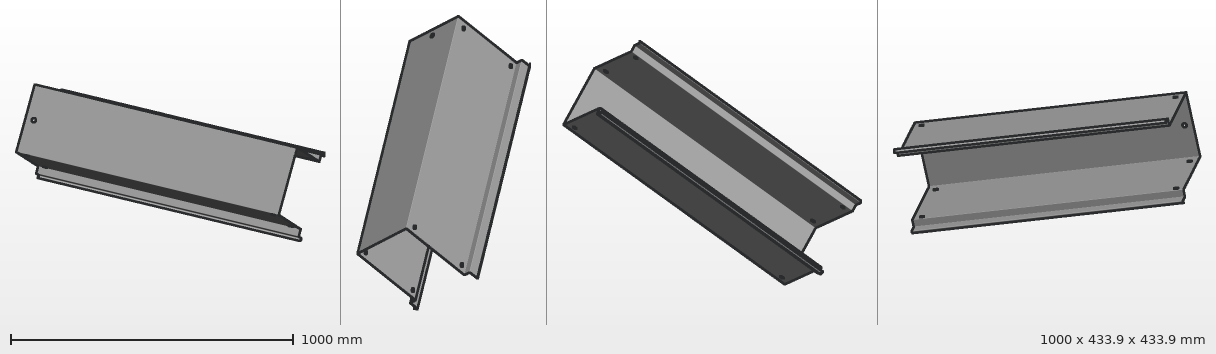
import cadquery as cq
import math

length = 1000.0
thickness = 1.0
web_width = 250.0
flange_depth = 297.0
step_width = 27.0
lip_depth = 38.0
hem_length = 11.0
corner_radius = 1.0
hem_radius = 2.0
hem_angle = 135.0
tilt = 45.0

hole_inset = 32.0
slot_length = 15.0
slot_width = 10.0
slot_depths = (35.0, 275.0)
web_hole_diameter = 15.0


def straight(distance):
    return ("straight", distance)


def bend(angle, radius):
    """Bend of the sheet; a positive angle turns left."""
    return ("bend", angle, radius)


def strip_section(steps):
    """Closed section of a sheet that starts at the origin, heading along +Y."""
    half = thickness / 2
    x, y, heading = 0.0, 0.0, 0.0

    def side_point(side):
        normal = math.radians(heading + 90)
        return (x + side * half * math.cos(normal), y + side * half * math.sin(normal))

    left = [(None, side_point(1))]
    right = [(None, side_point(-1))]
    for kind, *values in steps:
        if kind == "straight":
            x += values[0] * math.cos(math.radians(heading))
            y += values[0] * math.sin(math.radians(heading))
            left.append((None, side_point(1)))
            right.append((None, side_point(-1)))
            continue
        angle, radius = values
        turn = math.copysign(1, angle)
        normal = math.radians(heading + 90)
        center_x = x + turn * radius * math.cos(normal)
        center_y = y + turn * radius * math.sin(normal)
        middles = []
        for _ in range(2):
            heading += angle / 2
            normal = math.radians(heading + 90)
            x = center_x - turn * radius * math.cos(normal)
            y = center_y - turn * radius * math.sin(normal)
            middles.append((side_point(1), side_point(-1)))
        (left_middle, right_middle), (left_end, right_end) = middles
        left.append((left_middle, left_end))
        right.append((right_middle, right_end))

    section = cq.Workplane("YZ").moveTo(*left[0][1])
    for middle, end in left[1:]:
        section = section.threePointArc(middle, end) if middle else section.lineTo(*end)
    section = section.lineTo(*right[-1][1])
    for (middle, _), (_, start) in zip(right[:0:-1], right[-2::-1]):
        section = section.threePointArc(middle, start) if middle else section.lineTo(*start)
    return section.close()


def channel():
    """Web, flanges, outward steps, lips and hems, with the web on top at Z = 0."""
    corner_trim = corner_radius + thickness / 2
    steps = [
        straight(web_width / 2 - corner_trim),
        bend(-90, corner_radius),
        straight(flange_depth - 2 * corner_trim),
        bend(90, corner_radius),
        straight(step_width - 2 * corner_radius),
        bend(-90, corner_radius),
        straight(lip_depth - corner_radius - hem_radius),
        bend(hem_angle, hem_radius),
        straight(hem_length),
    ]
    half = strip_section(steps).extrude(length)
    half = half.translate((-length / 2, 0, -thickness / 2))
    return half.union(half.mirror("XZ")).clean()


def flange_slots():
    """Slots through both flanges near both ends."""
    centers = [
        (side * (length / 2 - hole_inset), -depth)
        for side in (-1, 1)
        for depth in slot_depths
    ]
    return (
        cq.Workplane("XZ")
        .pushPoints(centers)
        .slot2D(slot_length, slot_width)
        .extrude(web_width, both=True)
    )


def web_hole():
    """Single hole in the middle of the web, near the -X end."""
    return (
        cq.Workplane("XY")
        .center(hole_inset - length / 2, 0)
        .circle(web_hole_diameter / 2)
        .extrude(2 * thickness, both=True)
    )


upright = channel().cut(flange_slots()).cut(web_hole())
result = upright.rotate((0, 0, 0), (1, 0, 0), tilt)